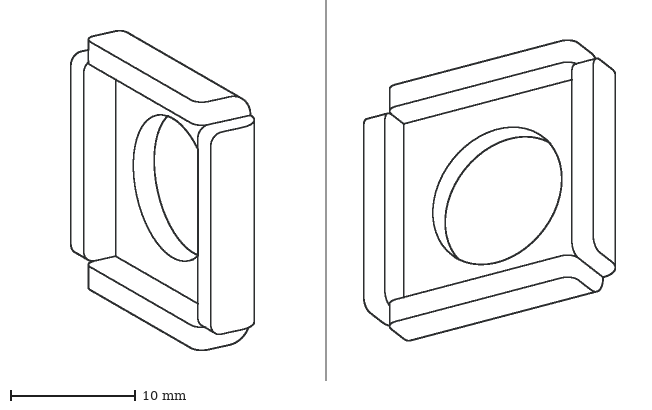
import cadquery as cq

outer_width = 21.4
depth = 5.0
thickness = 2.0
wall_corner_radius = 1.0
hole_diameter = 12.0

plate_width = outer_width - 2 * thickness
back_y = depth / 2
front_y = -depth / 2
plate_front_y = back_y - thickness


def make_plate():
    """Square base plate at the +Y side."""
    return (
        cq.Workplane("XY")
        .box(plate_width, thickness, plate_width)
        .translate((0, back_y - thickness / 2, 0))
    )


def make_wall():
    """Wall on the +X side, with a full quarter-round bend into the plate."""
    wall = (
        cq.Workplane("XY")
        .box(thickness, plate_front_y - front_y, plate_width)
        .translate(((outer_width - thickness) / 2, (plate_front_y + front_y) / 2, 0))
        .faces("<Y")
        .edges("|X")
        .fillet(wall_corner_radius)
    )
    bend = (
        cq.Workplane("XY")
        .center(plate_width / 2, plate_front_y)
        .circle(thickness)
        .extrude(plate_width / 2, both=True)
    )
    bend_quadrant = (
        cq.Workplane("XY")
        .box(thickness, thickness, plate_width, centered=(False, False, True))
        .translate((plate_width / 2, plate_front_y, 0))
    )
    return wall.union(bend.intersect(bend_quadrant))


result = make_plate()
wall = make_wall()
for angle in (0, 90, 180, 270):
    result = result.union(wall.rotate((0, 0, 0), (0, 1, 0), angle))

hole = (
    cq.Workplane("XZ")
    .circle(hole_diameter / 2)
    .extrude(depth, both=True)
)
result = result.cut(hole)